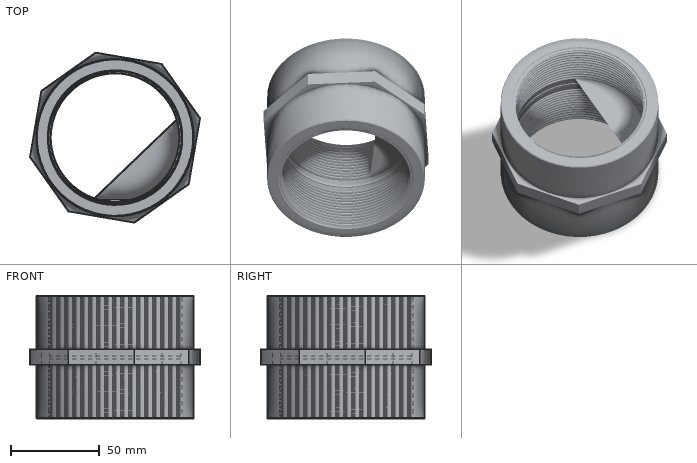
import cadquery as cq
import math

length = 69.4
outer_diameter = 89.0
outer_chamfer = 0.5
collar_width = 96.0
collar_height = 8.8
collar_sides = 8
collar_angle = 12.8

socket_diameter = 75.1
mouth_chamfer = 0.5
middle_diameter = 74.2
middle_half_length = 5.0
rib_diameter = 73.2
rib_height = 1.7

thread_turns = 12.6
thread_clearance = 0.02
crest_diameter = 72.4
crest_flat = 0.6
root_flat = 0.4
upper_start_angle = -45.0
lower_start_angle = 79.0

web_diameter = 75.05
web_thickness = 0.1
web_chord_angle = 43.8
web_chord_offset = 16.7
web_lowest_y = -35.1

half_length = length / 2
socket_length = half_length - middle_half_length
thread_length = socket_length - mouth_chamfer
pitch = thread_length / thread_turns


def cylinder(diameter, bottom, height):
    return cq.Workplane("XY").workplane(offset=bottom).circle(diameter / 2).extrude(height)


def make_housing():
    barrel = cylinder(outer_diameter, -half_length, length).edges().chamfer(outer_chamfer)
    corner_diameter = collar_width / math.cos(math.radians(collar_angle))
    collar = (
        cq.Workplane("XY")
        .polygon(collar_sides, corner_diameter)
        .extrude(collar_height / 2, both=True)
        .rotate((0, 0, 0), (0, 0, 1), collar_angle)
    )
    return barrel.union(collar).cut(make_bore())


def make_bore():
    """Half of the stepped bore profile is mirrored about the middle plane and revolved."""
    socket_radius = socket_diameter / 2
    mouth_radius = socket_radius + mouth_chamfer
    upper_half = [
        (rib_diameter / 2, rib_height / 2),
        (middle_diameter / 2, rib_height / 2),
        (middle_diameter / 2, middle_half_length),
        (socket_radius, middle_half_length),
        (socket_radius, half_length - mouth_chamfer),
        (mouth_radius, half_length),
        (0, half_length),
    ]
    lower_half = [(radius, -z) for radius, z in reversed(upper_half)]
    return cq.Workplane("XZ").polyline(lower_half + upper_half).close().revolve(360, (0, 0), (0, 1))


def make_thread(start_angle):
    """Helical ridge on the wall of the upper socket, with both ends trimmed flat."""
    crest_radius = crest_diameter / 2
    base_radius = socket_diameter / 2 - thread_clearance
    half_base = (pitch - root_flat) / 2
    start = middle_half_length + half_base - pitch
    rise = thread_length + 2 * pitch
    helix = cq.Wire.makeHelix(pitch, rise, base_radius, cq.Vector(0, 0, start))
    ridge = (
        cq.Workplane("XZ")
        .polyline([
            (crest_radius, start - crest_flat / 2),
            (base_radius, start - half_base),
            (base_radius, start + half_base),
            (crest_radius, start + crest_flat / 2),
        ])
        .close()
        .sweep(cq.Workplane(obj=helix), isFrenet=True)
    )
    slab = (
        cq.Workplane("XY")
        .workplane(offset=middle_half_length)
        .rect(outer_diameter, outer_diameter)
        .extrude(thread_length)
    )
    return ridge.intersect(slab).rotate((0, 0, 0), (0, 0, 1), start_angle)


def make_web():
    """Segment of a disc beyond the chord, cut off straight along its lowest edge."""
    disc = cylinder(web_diameter, middle_half_length, web_thickness)
    beyond_chord = (
        cq.Workplane("XY")
        .box(2 * socket_diameter, socket_diameter, length)
        .translate((0, -web_chord_offset - socket_diameter / 2, 0))
        .rotate((0, 0, 0), (0, 0, 1), web_chord_angle)
    )
    above_lowest = (
        cq.Workplane("XY")
        .box(2 * socket_diameter, socket_diameter, length)
        .translate((0, web_lowest_y + socket_diameter / 2, 0))
    )
    return disc.intersect(beyond_chord).intersect(above_lowest)


housing = make_housing()
upper_thread = make_thread(upper_start_angle).union(make_web())
lower_thread = make_thread(lower_start_angle).rotate((0, 0, 0), (1, 0, 0), 180)

result = cq.Compound.makeCompound([housing.val(), *upper_thread.vals(), *lower_thread.vals()])